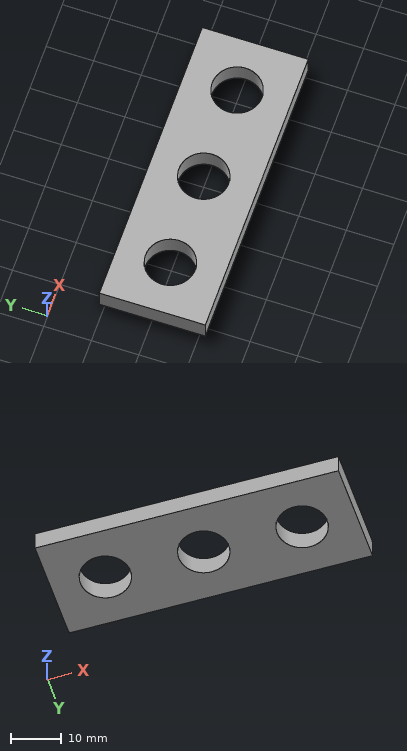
import cadquery as cq

length = 63.5
width = 22.35
thickness = 4.75

hole_diameter = 10.4
hole_spacing = 20.6
hole_count = 3

bar = cq.Workplane("XY").box(length, width, thickness)

result = (
    bar.faces(">Z")
    .workplane()
    .rarray(hole_spacing, width, hole_count, 1)
    .hole(hole_diameter)
)